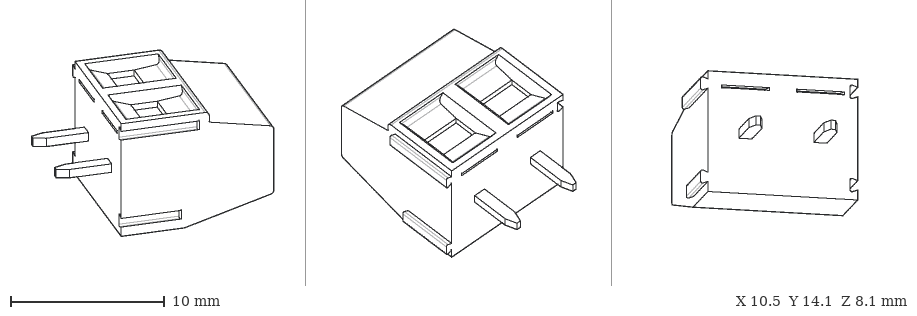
import cadquery as cq


body_width = 10.0
body_depth = 10.4
body_height = 8.1
poles = 2
pitch = body_width / poles
pole_center = pitch / 2
edge_radius = 0.3
step_y = 6.0
step_z = 7.36
roof_back_z = 6.46
belly_start_y = 4.31
belly_back_z = 1.65

overall_depth = 14.1
pin_length = overall_depth - body_depth
pin_width = 0.87
pin_height = 0.6
pin_z = 3.99
pin_taper = 0.82
pin_tip_width = 0.31
pin_root = 0.56

rail_depth = 0.48
rail_neck = 0.31
rail_flare = 0.5
rail_round = 0.11
groove_depth = 0.51
rails = [(7.23, 5.32), (0.99, 4.1)]

funnel_left = 0.55
funnel_width = 3.89
funnel_front_y = 0.51
funnel_back_y = 5.5
front_bend_y = 0.7
front_bend_depth = 0.34
back_bend_depth = 0.52
funnel_depth = 0.66
recess_width = 2.83
recess_front_y = 1.89
recess_back_y = 3.7
recess_floor_z = 7.01

slot_width = 3.2
slot_height = 0.18
slot_taper = 0.48
slot_depth = slot_taper + slot_height


def make_housing():
    """Side outline, extruded over the full width, with its long edges rounded."""
    outline = [
        (0, 0),
        (belly_start_y, 0),
        (body_depth, belly_back_z),
        (body_depth, roof_back_z),
        (step_y, step_z),
        (step_y, body_height),
        (0, body_height),
    ]
    block = cq.Workplane("YZ").polyline(outline).close().extrude(body_width)
    middle = body_width / 2
    for y, z in [(body_depth, belly_back_z), (body_depth, roof_back_z), (step_y, body_height)]:
        block = block.edges(cq.selectors.NearestToPointSelector((middle, y, z))).fillet(edge_radius)
    return block


def make_dovetail(face_x, depth, center_z, length):
    """Dovetail bar that starts at face_x, widens toward -X and runs back from the front face."""
    end_x = face_x - depth
    outline = [
        (face_x, center_z - rail_neck),
        (end_x, center_z - rail_flare),
        (end_x, center_z + rail_flare),
        (face_x, center_z + rail_neck),
    ]
    bar = cq.Workplane("XZ").polyline(outline).close().extrude(-length)
    return bar.faces("<X").edges("|Y").fillet(rail_round)


def make_funnel(center_x, left_x):
    """Funnel with sloping sides, front and floor, plus the recess below it."""
    floor_z = body_height - funnel_depth
    half_recess = recess_width / 2
    side_outline = [
        (funnel_front_y, body_height),
        (front_bend_y, body_height - front_bend_depth),
        (recess_front_y, floor_z),
        (recess_back_y, floor_z),
        (funnel_back_y, body_height - back_bend_depth),
        (funnel_back_y, body_height),
    ]
    lengthwise = (
        cq.Workplane("YZ", origin=(left_x, 0, 0)).polyline(side_outline).close().extrude(funnel_width)
    )
    middle = left_x + funnel_width / 2
    for y, depth in [(front_bend_y, front_bend_depth), (funnel_back_y, back_bend_depth)]:
        bend = cq.selectors.NearestToPointSelector((middle, y, body_height - depth))
        lengthwise = lengthwise.edges(bend).fillet(edge_radius)

    cross_outline = [
        (left_x, body_height),
        (center_x - half_recess, floor_z),
        (center_x + half_recess, floor_z),
        (left_x + funnel_width, body_height),
    ]
    crosswise = cq.Workplane("XZ").polyline(cross_outline).close().extrude(-body_depth)

    recess = cq.Workplane("XY").box(
        recess_width,
        recess_back_y - recess_front_y,
        floor_z - recess_floor_z,
        centered=(True, False, False),
    ).translate((center_x, recess_front_y, recess_floor_z))
    return lengthwise.intersect(crosswise).union(recess)


def make_slot(center_x):
    """Thin blind slot with tapered ends, whose roof slopes down to its floor at the inner end."""
    half_mouth = slot_width / 2
    half_inner = recess_width / 2
    plan = [
        (center_x - half_mouth, 0),
        (center_x + half_mouth, 0),
        (center_x + half_inner, slot_taper),
        (center_x + half_inner, slot_depth),
        (center_x - half_inner, slot_depth),
        (center_x - half_inner, slot_taper),
    ]
    side_outline = [
        (0, recess_floor_z),
        (slot_depth, recess_floor_z),
        (slot_taper, recess_floor_z + slot_height),
        (0, recess_floor_z + slot_height),
    ]
    base = cq.Workplane("XY", origin=(0, 0, recess_floor_z))
    flat = base.polyline(plan).close().extrude(slot_height)
    wedge = cq.Workplane("YZ").polyline(side_outline).close().extrude(body_width)
    return flat.intersect(wedge)


def make_pin(center_x):
    """Flat pin with a tapered tip."""
    half_width = pin_width / 2
    half_tip = pin_tip_width / 2
    shoulder_y = pin_taper - pin_length
    outline = [
        (center_x - half_width, pin_root),
        (center_x - half_width, shoulder_y),
        (center_x - half_tip, -pin_length),
        (center_x + half_tip, -pin_length),
        (center_x + half_width, shoulder_y),
        (center_x + half_width, pin_root),
    ]
    base = cq.Workplane("XY", origin=(0, 0, pin_z - pin_height / 2))
    return base.polyline(outline).close().extrude(pin_height)


result = make_housing()

for rail_z, rail_length in rails:
    result = result.union(make_dovetail(0, rail_depth, rail_z, rail_length))
    result = result.cut(make_dovetail(body_width, groove_depth, rail_z, rail_length))

for pole in range(poles):
    shift = pole * pitch
    pole_x = pole_center + shift
    result = result.cut(make_funnel(pole_x, funnel_left + shift))
    result = result.cut(make_slot(pole_x))
    result = result.union(make_pin(pole_x))